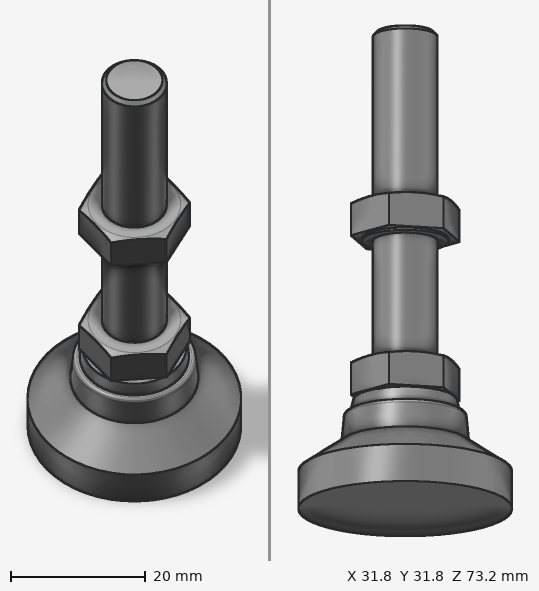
import cadquery as cq
import math

foot_radius = 15.9
base_top = 5.7
neck_foot_radius = 9.5
neck_bottom = 10.1
neck_rim_radius = 9.15
rim_top = 14.55
rim_round = 0.6

ball_radius = 8.1
ball_center = 14.2
ball_top = 16.7

shank_radius = 4.8
shank_top = 73.15
shank_chamfer = 0.65

hex_flats = 14.35
hex_corners = hex_flats / math.cos(math.pi / 6)
hex_height = 5.35
hex_face_radius = 6.9
corner_drop = 0.45
washer_radius = 6.45
washer_height = 0.4
nut_spacing = 24.4
lock_nut_bottom = ball_top + nut_spacing


def make_ball():
    """Full ball, centred on the vertical axis."""
    return cq.Workplane("XY").sphere(ball_radius).translate((0, 0, ball_center))


def make_hex(bottom):
    """Hexagon with corners on Y, a washer face below and chamfered top corners."""
    hex_bottom = bottom + washer_height
    hex_top = hex_bottom + hex_height
    washer = cq.Workplane("XY", origin=(0, 0, bottom)).circle(washer_radius).extrude(washer_height)
    prism = (
        cq.Workplane("XY", origin=(0, 0, hex_bottom))
        .transformed(rotate=(0, 0, 90))
        .polygon(6, hex_corners)
        .extrude(hex_height)
    )
    corner_radius = hex_corners / 2
    chamfer_envelope = (
        cq.Workplane("XZ")
        .moveTo(0, hex_bottom)
        .lineTo(corner_radius, hex_bottom)
        .lineTo(corner_radius, hex_top - corner_drop)
        .lineTo(hex_face_radius, hex_top)
        .lineTo(0, hex_top)
        .close()
        .revolve(360, (0, 0, 0), (0, 1, 0))
    )
    return prism.intersect(chamfer_envelope).union(washer)


def make_foot():
    """Revolved foot with a rounded rim and a spherical socket."""
    round_radius = neck_rim_radius - rim_round
    round_bottom = rim_top - rim_round
    round_diagonal = rim_round * math.sqrt(0.5)
    body = (
        cq.Workplane("XZ")
        .lineTo(foot_radius, 0)
        .lineTo(foot_radius, base_top)
        .lineTo(neck_foot_radius, neck_bottom)
        .lineTo(neck_rim_radius, round_bottom)
        .threePointArc(
            (round_radius + round_diagonal, round_bottom + round_diagonal),
            (round_radius, rim_top),
        )
        .lineTo(0, rim_top)
        .close()
        .revolve(360, (0, 0, 0), (0, 1, 0))
    )
    return body.cut(make_ball())


def make_stud():
    """Ball, integral hexagon and chamfered shank in one piece."""
    ball_height = ball_top - (ball_center - ball_radius)
    ball_limit = (
        cq.Workplane("XY", origin=(0, 0, ball_top))
        .circle(ball_radius)
        .extrude(-ball_height)
    )
    shank = (
        cq.Workplane("XY", origin=(0, 0, ball_top))
        .circle(shank_radius)
        .extrude(shank_top - ball_top)
        .faces(">Z")
        .chamfer(shank_chamfer)
    )
    return make_ball().intersect(ball_limit).union(make_hex(ball_top)).union(shank)


def make_lock_nut():
    """Hexagon nut whose bore fits the shank."""
    bore = (
        cq.Workplane("XY", origin=(0, 0, lock_nut_bottom))
        .circle(shank_radius)
        .extrude(washer_height + hex_height)
    )
    return make_hex(lock_nut_bottom).cut(bore)


foot = make_foot()
stud = make_stud()
lock_nut = make_lock_nut()

result = cq.Compound.makeCompound([foot.solids().val(), stud.solids().val(), lock_nut.solids().val()])